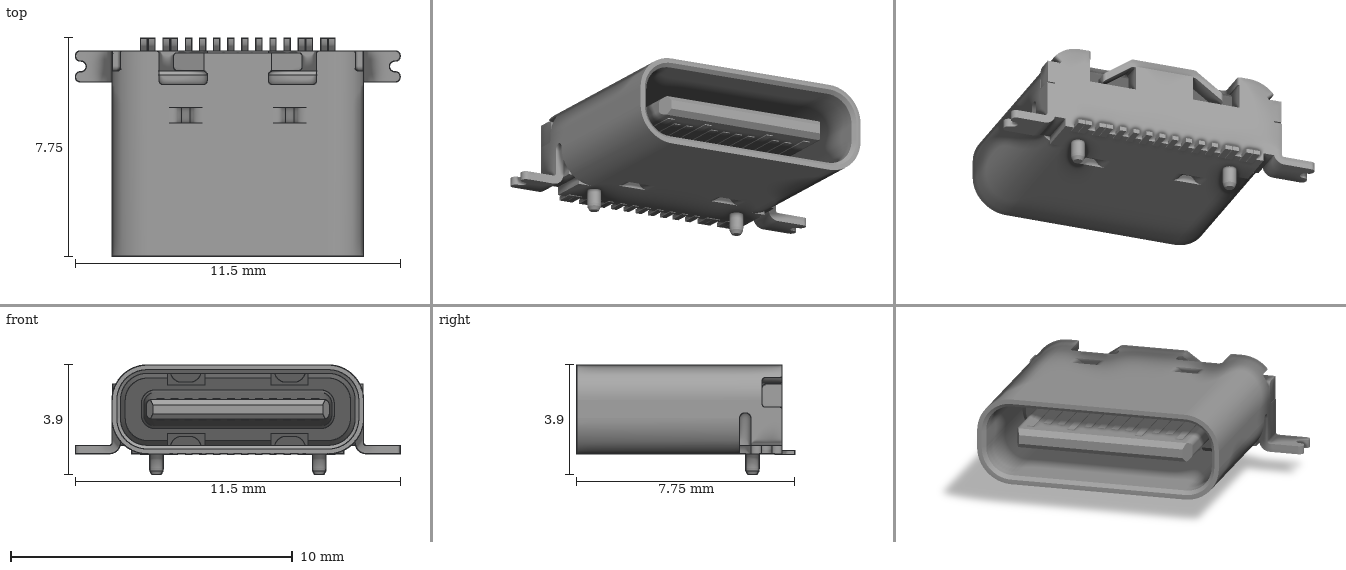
import cadquery as cq
import math


SHELL_WIDTH = 8.94
SHELL_HEIGHT = 3.16
SHELL_LENGTH = 7.3
WALL = 0.3
CORNER_RADIUS = 1.26
MOUTH_CHAMFER = 0.13
HALF_WIDTH = SHELL_WIDTH / 2
MID_Z = SHELL_HEIGHT / 2
CAVITY_WIDTH = SHELL_WIDTH - 2 * WALL
CAVITY_HEIGHT = SHELL_HEIGHT - 2 * WALL
CAVITY_RADIUS = CORNER_RADIUS - WALL
CAVITY_TOP = SHELL_HEIGHT - WALL
CORNER_CENTER_X = HALF_WIDTH - CORNER_RADIUS
CORNER_CENTER_Z = SHELL_HEIGHT - CORNER_RADIUS

LEG_FRONT = 6.19
LEG_LENGTH = SHELL_LENGTH - LEG_FRONT
LEG_SPAN = 11.54
LEG_BEND_RADIUS = 0.09
SLOT_WIDTH = 0.41
SLOT_TOP = 1.455
SLOT_FRONT = LEG_FRONT - SLOT_WIDTH
FOOT_NOTCH_DEPTH = 0.38
FOOT_HORN_WIDTH = LEG_LENGTH / 3
FOOT_HORN_RADIUS = 0.175

DIMPLE_X = 1.85
DIMPLE_FRONT = 4.73
DIMPLE_LENGTH = 0.55
DIMPLE_HALF_WIDTH = 0.58
DIMPLE_DROP = 0.31
DIMPLE_CREST_HALF_WIDTH = 0.23
DIMPLE_ROOT_HALF_WIDTH = 0.54
DIMPLE_SHOULDER_RADIUS = 0.43
VALLEY_KNEE = (0.26, 0.18)
VALLEY_FLOOR = (0.15, 0.28)
VALLEY_SHOULDER_RADIUS = 0.38

OPENING_OUTER_X = 2.8
OPENING_INNER_X = 1.085
OPENING_FRONT = 6.1
OPENING_RADIUS = 0.15
TAB_HALF_WIDTH = 1.2
TAB_REAR = 7.23
FLAP_FRONT = 6.6
FLAP_OUTER_X = 2.28
FLAP_DROP = 0.76
FLAP_CORNER_RADIUS = 0.12

NOTCH_FRONT = 6.585
NOTCH_BOTTOM = 1.655
NOTCH_TOP = 2.71
NOTCH_RADIUS = 0.12
NOTCH_ANGLE = math.asin((NOTCH_TOP - CORNER_CENTER_Z) / CORNER_RADIUS)
EAR_TOP = 2.48
EAR_OUTER_X = 4.45
EAR_INNER_X = 4.0
EAR_TOP_RADIUS = 0.16

REAR_CORNER_RADIUS = 0.09

HOUSING_FRONT = 4.6
HOUSING_CHAMFER = 0.17
BASE_WIDTH = 7.54
BASE_HEIGHT = 0.3
SKIRT_TOP = MID_Z
RELIEF_INNER_X = 1.17
RELIEF_OUTER_X = 2.5
RELIEF_DEPTH = 0.42
RELIEF_CLEARANCE = 0.05
RELIEF_REAR = DIMPLE_FRONT + DIMPLE_LENGTH + RELIEF_CLEARANCE
POCKET_FLOOR = 1.95
POCKET_OUTER_X = 2.85
POCKET_FRONT = 6.58
POCKET_CHAMFER = 0.14

ROOT_WIDTH = 6.86
ROOT_HEIGHT = 1.38
ROOT_RADIUS = 0.5
ROOT_LENGTH = 0.3
ROOT_CHAMFER = 0.09
ROOT_TAPER_LENGTH = 0.4
TONGUE_WIDTH = 6.5
TONGUE_HEIGHT = 0.7
TONGUE_RADIUS = 0.2
TONGUE_FRONT = 0.35
TIP_FACE_CHAMFER = 0.19
TIP_FACE_CHAMFER_LENGTH = 0.19
TIP_SIDE_CHAMFER = 0.23
TIP_SIDE_CHAMFER_LENGTH = 0.5

PAD_WIDTH = 0.25
PAD_PITCH = 0.5
PADS_PER_FACE = 12
PAD_PROUD = 0.03
LONG_PAD_FRONT = 0.85
SHORT_PAD_FRONT = 1.3
LONG_PAD_INDEXES = (0, 3, 8, 11)

TAIL_WIDTH = 0.23
TAIL_THICKNESS = 0.15
TAIL_BOTTOM = -0.03
TAIL_FRONT = 7.04
TAIL_REAR = 7.75
SINGLE_TAIL_X = (0.25, 0.75, 1.25, 1.75)
PAIRED_TAIL_X = (2.4, 3.2)
PAIRED_TAIL_WIDTH = 0.25
PAIRED_TAIL_GAP = 0.02

PEG_X = 2.89
PEG_Y = 6.24
PEG_RADIUS = 0.245
PEG_NECK_RADIUS = 0.235
PEG_TIP_RADIUS = 0.165
PEG_STRAIGHT_BOTTOM = -0.52
PEG_NECK_BOTTOM = -0.61
PEG_BOTTOM = -0.74

SIDES = (-1, 1)


def box(x0, x1, y0, y1, z0, z1):
    """Axis-aligned box between two opposite corners."""
    size = (x1 - x0, y1 - y0, z1 - z0)
    center = ((x0 + x1) / 2, (y0 + y1) / 2, (z0 + z1) / 2)
    return cq.Workplane("XY").box(*size).translate(center)


def section_at(y):
    """Plane across the part at y, centred on the tongue, with its normal toward +Y."""
    return cq.Workplane(cq.Plane(origin=(0, y, MID_Z), xDir=(1, 0, 0), normal=(0, 1, 0)))


def rounded_bar(width, height, radius, y0, y1):
    return section_at(y0).rect(width, height).extrude(y1 - y0).edges("|Y").fillet(radius)


def rounded_loft(front, rear, y0, y1):
    """Loft between two rounded rectangles, each given as (width, height, radius)."""
    front_sketch = cq.Sketch().rect(front[0], front[1]).vertices().fillet(front[2])
    rear_sketch = cq.Sketch().rect(rear[0], rear[1]).vertices().fillet(rear[2])
    rear_sketch = rear_sketch.moved(cq.Location(cq.Vector(0, 0, y1 - y0)))
    return section_at(y0).placeSketch(front_sketch, rear_sketch).loft(ruled=True)


def mirrored_x(half):
    return half.union(half.mirror("YZ"))


def mirrored_z(half):
    return half.union(half.mirror("XY", (0, 0, MID_Z)))


def shell_tube():
    outer = rounded_bar(SHELL_WIDTH, SHELL_HEIGHT, CORNER_RADIUS, 0, SHELL_LENGTH)
    cavity = rounded_bar(CAVITY_WIDTH, CAVITY_HEIGHT, CAVITY_RADIUS, 0, SHELL_LENGTH)
    flare_size = (
        CAVITY_WIDTH + 2 * MOUTH_CHAMFER,
        CAVITY_HEIGHT + 2 * MOUTH_CHAMFER,
        CAVITY_RADIUS + MOUTH_CHAMFER,
    )
    cavity_size = (CAVITY_WIDTH, CAVITY_HEIGHT, CAVITY_RADIUS)
    return outer.cut(cavity).cut(rounded_loft(flare_size, cavity_size, 0, MOUTH_CHAMFER))


def leg_clearance():
    """Lower rear part of the shell, with a round-topped slot in front of each leg."""
    slot_radius = SLOT_WIDTH / 2
    straight_top = SLOT_TOP - slot_radius
    lower_rear = box(-HALF_WIDTH, HALF_WIDTH, SLOT_FRONT, SHELL_LENGTH, 0, straight_top)
    slot_end = (
        cq.Workplane("YZ")
        .center(SLOT_FRONT + slot_radius, straight_top)
        .circle(slot_radius)
        .extrude(HALF_WIDTH, both=True)
    )
    return lower_rear.union(slot_end)


def opening():
    wide = box(
        OPENING_INNER_X, OPENING_OUTER_X, OPENING_FRONT, POCKET_FRONT, CAVITY_TOP, SHELL_HEIGHT
    )
    wide = wide.edges("|Z and (<Y or <X)").fillet(OPENING_RADIUS)
    narrow = box(
        TAB_HALF_WIDTH,
        OPENING_OUTER_X,
        OPENING_FRONT + OPENING_RADIUS,
        SHELL_LENGTH,
        CAVITY_TOP,
        SHELL_HEIGHT,
    )
    tab_end = box(0, OPENING_OUTER_X, TAB_REAR, SHELL_LENGTH, CAVITY_TOP, SHELL_HEIGHT)
    return mirrored_x(wide.union(narrow).union(tab_end))


def side_notch():
    """Notch whose upper wall points at the centre of the shell's corner arc."""
    wedge = (
        cq.Workplane("XZ", origin=(0, SHELL_LENGTH, 0))
        .moveTo(CORNER_CENTER_X, CORNER_CENTER_Z)
        .lineTo(HALF_WIDTH, CORNER_CENTER_Z + CORNER_RADIUS * math.tan(NOTCH_ANGLE))
        .lineTo(HALF_WIDTH, NOTCH_BOTTOM)
        .lineTo(CORNER_CENTER_X, NOTCH_BOTTOM)
        .close()
        .extrude(SHELL_LENGTH - NOTCH_FRONT)
    )
    window = box(CORNER_CENTER_X, HALF_WIDTH, NOTCH_FRONT, SHELL_LENGTH, NOTCH_BOTTOM, NOTCH_TOP)
    window = window.edges("|X and <Y").fillet(NOTCH_RADIUS)
    return mirrored_x(wedge.intersect(window))


def flap():
    """Wing bent down from each side of the rear tab."""
    wing = (
        cq.Workplane("XZ", origin=(0, TAB_REAR, 0))
        .moveTo(TAB_HALF_WIDTH, SHELL_HEIGHT)
        .lineTo(FLAP_OUTER_X, SHELL_HEIGHT - FLAP_DROP)
        .lineTo(FLAP_OUTER_X, CAVITY_TOP - FLAP_DROP)
        .lineTo(TAB_HALF_WIDTH, CAVITY_TOP)
        .close()
        .extrude(TAB_REAR - FLAP_FRONT)
    )
    return mirrored_x(wing.edges("|Z and >X").fillet(FLAP_CORNER_RADIUS))


def leg():
    """Vertical plate bent outward into a flat foot with a notched end."""
    plate_inner = HALF_WIDTH - WALL
    foot_end = LEG_SPAN / 2
    bent = (
        cq.Workplane("XZ", origin=(0, SHELL_LENGTH, 0))
        .moveTo(plate_inner, NOTCH_BOTTOM)
        .lineTo(HALF_WIDTH, NOTCH_BOTTOM)
        .lineTo(HALF_WIDTH, WALL + LEG_BEND_RADIUS)
        .radiusArc((HALF_WIDTH + LEG_BEND_RADIUS, WALL), -LEG_BEND_RADIUS)
        .lineTo(foot_end, WALL)
        .lineTo(foot_end, 0)
        .lineTo(HALF_WIDTH + LEG_BEND_RADIUS, 0)
        .radiusArc((plate_inner, WALL + LEG_BEND_RADIUS), WALL + LEG_BEND_RADIUS)
        .close()
        .extrude(LEG_LENGTH)
    )
    middle_y = LEG_FRONT + LEG_LENGTH / 2
    notch_width = LEG_LENGTH - 2 * FOOT_HORN_WIDTH
    notch = (
        cq.Workplane("XY")
        .center(foot_end, middle_y)
        .slot2D(2 * FOOT_NOTCH_DEPTH, notch_width)
        .extrude(WALL)
    )
    return mirrored_x(bent.cut(notch).edges("|Z and >X").fillet(FOOT_HORN_RADIUS))


def dimple(x):
    """Inward bulge of the top wall at x, as (solid bulge, valley to remove)."""
    plane = cq.Workplane("XZ", origin=(x, DIMPLE_FRONT + DIMPLE_LENGTH, SHELL_HEIGHT))
    crest = -WALL - DIMPLE_DROP
    bulge = (
        plane.moveTo(-DIMPLE_ROOT_HALF_WIDTH, -WALL / 2)
        .lineTo(-DIMPLE_ROOT_HALF_WIDTH, -WALL)
        .radiusArc((-DIMPLE_CREST_HALF_WIDTH, crest), -DIMPLE_SHOULDER_RADIUS)
        .lineTo(DIMPLE_CREST_HALF_WIDTH, crest)
        .radiusArc((DIMPLE_ROOT_HALF_WIDTH, -WALL), -DIMPLE_SHOULDER_RADIUS)
        .lineTo(DIMPLE_ROOT_HALF_WIDTH, -WALL / 2)
        .close()
        .extrude(DIMPLE_LENGTH)
    )
    valley = (
        plane.moveTo(-DIMPLE_HALF_WIDTH, 0)
        .radiusArc((-VALLEY_KNEE[0], -VALLEY_KNEE[1]), VALLEY_SHOULDER_RADIUS)
        .lineTo(-VALLEY_FLOOR[0], -VALLEY_FLOOR[1])
        .lineTo(VALLEY_FLOOR[0], -VALLEY_FLOOR[1])
        .lineTo(VALLEY_KNEE[0], -VALLEY_KNEE[1])
        .radiusArc((DIMPLE_HALF_WIDTH, 0), VALLEY_SHOULDER_RADIUS)
        .close()
        .extrude(DIMPLE_LENGTH)
    )
    return bulge, valley


def round_rear_corners(body):
    """Round the rear corners of the side notches and of the outer ends of the openings."""
    middle_radius = CORNER_RADIUS - WALL / 2
    corners = (
        (OPENING_OUTER_X, SHELL_HEIGHT - WALL / 2),
        (HALF_WIDTH - WALL / 2, NOTCH_BOTTOM),
        (
            CORNER_CENTER_X + middle_radius * math.cos(NOTCH_ANGLE),
            CORNER_CENTER_Z + middle_radius * math.sin(NOTCH_ANGLE),
        ),
    )
    for x, z in corners:
        for side in SIDES:
            edge = body.edges(cq.NearestToPointSelector((side * x, SHELL_LENGTH, z)))
            body = edge.fillet(REAR_CORNER_RADIUS)
    return body


def shell():
    body = shell_tube().cut(leg_clearance()).cut(opening()).cut(side_notch())
    body = round_rear_corners(body.union(leg())).union(flap())
    for side in SIDES:
        bulge, valley = dimple(side * DIMPLE_X)
        body = body.union(mirrored_z(bulge)).cut(mirrored_z(valley))
    return body


def dimple_reliefs():
    """Notches in the front of the housing that clear the spring dimples."""
    relief = box(
        RELIEF_INNER_X, RELIEF_OUTER_X, HOUSING_FRONT, RELIEF_REAR, CAVITY_TOP - RELIEF_DEPTH, CAVITY_TOP
    )
    return mirrored_x(mirrored_z(relief))


def flap_pockets():
    """Rear pockets under the flaps, with a chamfered front edge."""
    pocket = (
        cq.Workplane("YZ", origin=(OPENING_INNER_X, 0, 0))
        .moveTo(POCKET_FRONT - POCKET_CHAMFER, CAVITY_TOP)
        .lineTo(POCKET_FRONT, CAVITY_TOP - POCKET_CHAMFER)
        .lineTo(POCKET_FRONT, POCKET_FLOOR)
        .lineTo(SHELL_LENGTH, POCKET_FLOOR)
        .lineTo(SHELL_LENGTH, CAVITY_TOP)
        .close()
        .extrude(POCKET_OUTER_X - OPENING_INNER_X)
    )
    return mirrored_x(pocket)


def ears():
    ear = box(EAR_INNER_X, EAR_OUTER_X, NOTCH_FRONT, SHELL_LENGTH, NOTCH_BOTTOM, EAR_TOP)
    ear = ear.edges("|X and <Y and >Z").fillet(EAR_TOP_RADIUS)
    return mirrored_x(ear.edges("|X and <Y and <Z").fillet(NOTCH_RADIUS))


def housing():
    body = rounded_bar(CAVITY_WIDTH, CAVITY_HEIGHT, CAVITY_RADIUS, HOUSING_FRONT, SHELL_LENGTH)
    body = body.faces("<Y").chamfer(HOUSING_CHAMFER)
    body = body.cut(dimple_reliefs()).cut(flap_pockets())
    half_base = BASE_WIDTH / 2
    base = box(-half_base, half_base, SLOT_FRONT, SHELL_LENGTH, 0, BASE_HEIGHT)
    half_skirt = CAVITY_WIDTH / 2
    skirt = box(-half_skirt, half_skirt, SLOT_FRONT, SHELL_LENGTH, BASE_HEIGHT, SKIRT_TOP)
    return body.union(base).union(skirt).union(ears())


def bevelled_outline(plane, half_width, bevel, bevel_length):
    """Outline of a bar running from the tongue tip to the housing, bevelled at the tip."""
    bevel_end = TONGUE_FRONT + bevel_length
    return (
        cq.Workplane(plane)
        .moveTo(-half_width + bevel, TONGUE_FRONT)
        .lineTo(half_width - bevel, TONGUE_FRONT)
        .lineTo(half_width, bevel_end)
        .lineTo(half_width, HOUSING_FRONT)
        .lineTo(-half_width, HOUSING_FRONT)
        .lineTo(-half_width, bevel_end)
        .close()
    )


def tip_envelope():
    """Volume that bevels the tongue tip on its sides and on its two contact faces."""
    plan_plane = cq.Plane(origin=(0, 0, MID_Z), xDir=(1, 0, 0), normal=(0, 0, 1))
    side_plane = cq.Plane(origin=(0, 0, MID_Z), xDir=(0, 0, 1), normal=(-1, 0, 0))
    plan = bevelled_outline(plan_plane, TONGUE_WIDTH / 2, TIP_SIDE_CHAMFER, TIP_SIDE_CHAMFER_LENGTH)
    side = bevelled_outline(side_plane, TONGUE_HEIGHT / 2, TIP_FACE_CHAMFER, TIP_FACE_CHAMFER_LENGTH)
    return plan.extrude(TONGUE_HEIGHT, both=True).intersect(side.extrude(TONGUE_WIDTH, both=True))


def tongue():
    root_front = HOUSING_FRONT - ROOT_LENGTH
    root = rounded_bar(ROOT_WIDTH, ROOT_HEIGHT, ROOT_RADIUS, root_front, HOUSING_FRONT)
    root = root.faces("<Y").chamfer(ROOT_CHAMFER)
    tongue_size = (TONGUE_WIDTH, TONGUE_HEIGHT, TONGUE_RADIUS)
    taper_size = (
        ROOT_WIDTH - 2 * ROOT_CHAMFER,
        ROOT_HEIGHT - 2 * ROOT_CHAMFER,
        ROOT_RADIUS - ROOT_CHAMFER,
    )
    taper = rounded_loft(tongue_size, taper_size, root_front - ROOT_TAPER_LENGTH, root_front)
    blade = rounded_bar(*tongue_size, TONGUE_FRONT, HOUSING_FRONT)
    return root.union(taper).union(blade.intersect(tip_envelope()))


def contact_pads():
    pads = cq.Workplane("XY")
    half_height = TONGUE_HEIGHT / 2 + PAD_PROUD
    for index in range(PADS_PER_FACE):
        x = (index - (PADS_PER_FACE - 1) / 2) * PAD_PITCH
        front = LONG_PAD_FRONT if index in LONG_PAD_INDEXES else SHORT_PAD_FRONT
        left, right = x - PAD_WIDTH / 2, x + PAD_WIDTH / 2
        pad = box(left, right, front, HOUSING_FRONT, MID_Z - half_height, MID_Z + half_height)
        pads = pads.union(pad)
    return pads


def tail(x, width):
    return box(
        x - width / 2,
        x + width / 2,
        TAIL_FRONT,
        TAIL_REAR,
        TAIL_BOTTOM,
        TAIL_BOTTOM + TAIL_THICKNESS,
    )


def solder_tails():
    tails = cq.Workplane("XY")
    for x in SINGLE_TAIL_X:
        tails = tails.union(tail(x, TAIL_WIDTH))
    pair_offset = (PAIRED_TAIL_WIDTH + PAIRED_TAIL_GAP) / 2
    for x in PAIRED_TAIL_X:
        for side in SIDES:
            tails = tails.union(tail(x + side * pair_offset, PAIRED_TAIL_WIDTH))
    return mirrored_x(tails)


def pegs():
    """Round pegs that narrow toward the tip in two cones."""
    peg = (
        cq.Workplane("XZ", origin=(PEG_X, PEG_Y, 0))
        .lineTo(PEG_RADIUS, 0)
        .lineTo(PEG_RADIUS, PEG_STRAIGHT_BOTTOM)
        .lineTo(PEG_NECK_RADIUS, PEG_NECK_BOTTOM)
        .lineTo(PEG_TIP_RADIUS, PEG_BOTTOM)
        .lineTo(0, PEG_BOTTOM)
        .close()
        .revolve()
    )
    return mirrored_x(peg)


result = shell()
for member in (housing(), tongue(), contact_pads(), solder_tails(), pegs()):
    result = result.union(member)